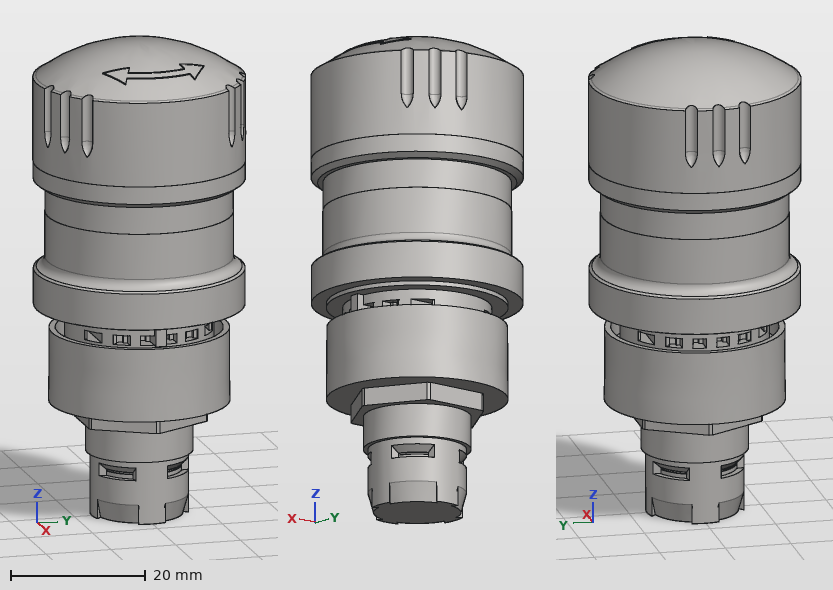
import cadquery as cq
import math

TOTAL_HEIGHT = 72.2

SPIGOT_DIA = 14.65
SPIGOT_TOP = 9.7
NECK_DIA = 16.0
NECK_TOP = 14.65

HEX_FLATS = 18.3
HEX_CORNER_DIA = 20.8
HEX_TOP = 17.3
HEX_TURN_ANGLE = 30

NUT_BOTTOM_DIA = 27.0
NUT_TOP_DIA = 26.85
NUT_TOP = 28.45
NUT_BORE_DIA = 25.0
NUT_BORE_DEPTH = 2.9

RING_DIA = 22.2
RING_TOP = 31.4
FLANGE_DIA = 27.0
FLANGE_TOP = 32.05

COLLAR_DIA = 31.5
COLLAR_EDGE_Z = 37.55
COVE_FOOT_DIA = 30.6
COVE_FOOT_Z = 37.8
COVE_TOP_Z = 39.35

BARREL_DIA = 28.1
BARREL_STEP_Z = 46.3
UPPER_BARREL_DIA = 28.0

CAP_BOTTOM_DIA = 29.6
CAP_BOTTOM_Z = 50.6
CAP_CHAMFER_TOP_Z = 51.3
CAP_SKIRT_DIA = 31.55
CAP_SKIRT_TOP = 54.0
CAP_DIA = 31.6
CAP_EDGE_Z = 66.85
DOME_DIA = 30.75
DOME_EDGE_Z = 67.1

SLOT_WIDTH = 6.35
SLOT_BOTTOM = 6.7
SLOT_TOP = 8.7
SLOT_FLOOR_RADIUS = 6.35
SLOT_INNER_TOP = 7.65
SLOT_FLOOR_WIDTH = 4.5
SLIT_BOTTOM = 7.4
SLIT_FLOOR_RADIUS = 6.15
RELIEF_WIDTH = 7.0
RELIEF_TOP = 2.95
RELIEF_BOTTOM_RADIUS = 6.5
SLOT_ANGLES = (45, 135, 225, 315)

WINDOW_TOP = 29.9
POCKET_SPANS = ((0.8, 2.8), (4.25, 6.5))
POCKET_FLOOR_X = 8.7
INNER_POCKET_INSET = 0.6
INNER_POCKET_FLOOR_X = 7.95
CHANNEL_SPAN = (7.95, 9.4)
RECESS_OUTER_Y = 9.8
RECESS_FLOOR_X = 4.85

KEY_REACH = 12.1
KEY_WIDTH = 1.6

GROOVE_RADIUS = 0.9
GROOVE_BOTTOM = 60.3
GROOVE_TIP_LENGTH = 2.25
GROOVE_GROUP_ANGLES = (-60, 60, 180)
GROOVE_PITCH_ANGLE = 15

ARROW_HEIGHT = 0.15
ARROW_MID_RADIUS = 11.0
ARROW_SHAFT_WIDTH = 1.15
ARROW_HEAD_WIDTH = 3.5
ARROW_HEAD_ANGLE = 24.8
ARROW_TIP_ANGLE = 45.5

DOME_RISE = TOTAL_HEIGHT - DOME_EDGE_Z
DOME_RADIUS = ((DOME_DIA / 2) ** 2 + DOME_RISE ** 2) / (2 * DOME_RISE)
DOME_CENTRE_Z = TOTAL_HEIGHT - DOME_RADIUS


def polar(radius, angle):
    """Point in the XY plane at an angle in degrees from +X."""
    return (radius * math.cos(math.radians(angle)), radius * math.sin(math.radians(angle)))


def disc(diameter, bottom, top):
    return cq.Workplane("XY").workplane(offset=bottom).circle(diameter / 2).extrude(top - bottom)


def box_between(x_span, y_span, z_span):
    size = [max(span) - min(span) for span in (x_span, y_span, z_span)]
    corner = (min(x_span), min(y_span), min(z_span))
    return cq.Workplane("XY").box(*size, centered=False).translate(corner)


def cove_midpoint():
    """Middle of the circular cove, which is tangent to the barrel at its top."""
    width = (COVE_FOOT_DIA - BARREL_DIA) / 2
    height = COVE_TOP_Z - COVE_FOOT_Z
    radius = (width ** 2 + height ** 2) / (2 * width)
    half_angle = math.asin(height / radius) / 2
    return (
        BARREL_DIA / 2 + radius * (1 - math.cos(half_angle)),
        COVE_TOP_Z - radius * math.sin(half_angle),
    )


def make_lower_body():
    spigot = disc(SPIGOT_DIA, 0, SPIGOT_TOP)
    neck = disc(NECK_DIA, SPIGOT_TOP, NECK_TOP)
    hexagon = (
        cq.Workplane("XY").workplane(offset=NECK_TOP)
        .polygon(6, HEX_FLATS, circumscribed=True)
        .extrude(HEX_TOP - NECK_TOP)
        .rotate((0, 0, 0), (0, 0, 1), HEX_TURN_ANGLE)
        .intersect(disc(HEX_CORNER_DIA, NECK_TOP, HEX_TOP))
    )
    nut = (
        cq.Workplane("XY").workplane(offset=HEX_TOP).circle(NUT_BOTTOM_DIA / 2)
        .workplane(offset=NUT_TOP - HEX_TOP).circle(NUT_TOP_DIA / 2)
        .loft()
    )
    bore = disc(NUT_BORE_DIA, NUT_TOP - NUT_BORE_DEPTH, NUT_TOP)
    return spigot.union(neck).union(hexagon).union(nut.cut(bore))


def make_upper_body():
    return (
        cq.Workplane("XZ")
        .moveTo(0, RING_TOP)
        .lineTo(FLANGE_DIA / 2, RING_TOP)
        .lineTo(FLANGE_DIA / 2, FLANGE_TOP)
        .lineTo(COLLAR_DIA / 2, FLANGE_TOP)
        .lineTo(COLLAR_DIA / 2, COLLAR_EDGE_Z)
        .lineTo(COVE_FOOT_DIA / 2, COVE_FOOT_Z)
        .threePointArc(cove_midpoint(), (BARREL_DIA / 2, COVE_TOP_Z))
        .lineTo(BARREL_DIA / 2, BARREL_STEP_Z)
        .lineTo(UPPER_BARREL_DIA / 2, BARREL_STEP_Z)
        .lineTo(UPPER_BARREL_DIA / 2, CAP_BOTTOM_Z)
        .lineTo(CAP_BOTTOM_DIA / 2, CAP_BOTTOM_Z)
        .lineTo(CAP_SKIRT_DIA / 2, CAP_CHAMFER_TOP_Z)
        .lineTo(CAP_SKIRT_DIA / 2, CAP_SKIRT_TOP)
        .lineTo(CAP_DIA / 2, CAP_SKIRT_TOP)
        .lineTo(CAP_DIA / 2, CAP_EDGE_Z)
        .lineTo(DOME_DIA / 2, DOME_EDGE_Z)
        .threePointArc(dome_midpoint(), (0, TOTAL_HEIGHT))
        .close()
        .revolve(360, (0, 0, 0), (0, 1, 0))
    )


def dome_midpoint():
    half_angle = math.asin(DOME_DIA / 2 / DOME_RADIUS) / 2
    return (
        DOME_RADIUS * math.sin(half_angle),
        DOME_CENTRE_Z + DOME_RADIUS * math.cos(half_angle),
    )


def make_ring():
    ring = disc(RING_DIA, NUT_TOP - NUT_BORE_DEPTH, RING_TOP)
    z_span = (NUT_TOP, WINDOW_TOP)
    outer_x = RING_DIA / 2
    for y_side in (-1, 1):
        channel_y = [y_side * y for y in CHANNEL_SPAN]
        ring = ring.cut(box_between((-outer_x, outer_x), channel_y, z_span))
        recess_y = (y_side * CHANNEL_SPAN[1], y_side * RECESS_OUTER_Y)
        for x_side in (-1, 1):
            recess_x = (x_side * RECESS_FLOOR_X, x_side * outer_x)
            ring = ring.cut(box_between(recess_x, recess_y, z_span))
            pocket_x = (x_side * POCKET_FLOOR_X, x_side * outer_x)
            for span in POCKET_SPANS:
                pocket_y = [y_side * y for y in span]
                ring = ring.cut(box_between(pocket_x, pocket_y, z_span))
                inner_x = (x_side * INNER_POCKET_FLOOR_X, x_side * POCKET_FLOOR_X)
                inner_y = (
                    y_side * (span[0] + INNER_POCKET_INSET),
                    y_side * (span[1] - INNER_POCKET_INSET),
                )
                ring = ring.cut(box_between(inner_x, inner_y, z_span))
    key = box_between((POCKET_FLOOR_X, KEY_REACH), (-KEY_WIDTH / 2, KEY_WIDTH / 2), (NUT_TOP, RING_TOP))
    return ring.union(key)


def chord_distance(radius, chord):
    """Distance from the axis to a chord of a circle."""
    return math.sqrt(radius ** 2 - (chord / 2) ** 2)


def make_slot():
    """Slot facing +X: conical ceiling, ends converging inwards, slit in the round floor."""
    spigot_radius = SPIGOT_DIA / 2
    ring_of_slot = (
        cq.Workplane("XZ")
        .moveTo(SLOT_FLOOR_RADIUS, SLOT_BOTTOM)
        .lineTo(SPIGOT_DIA, SLOT_BOTTOM)
        .lineTo(SPIGOT_DIA, SLOT_TOP)
        .lineTo(spigot_radius, SLOT_TOP)
        .lineTo(SLOT_FLOOR_RADIUS, SLOT_INNER_TOP)
        .lineTo(SLIT_FLOOR_RADIUS, SLOT_INNER_TOP)
        .lineTo(SLIT_FLOOR_RADIUS, SLIT_BOTTOM)
        .lineTo(SLOT_FLOOR_RADIUS, SLIT_BOTTOM)
        .close()
        .revolve(360, (0, 0, 0), (0, 1, 0))
    )
    floor_corner = (chord_distance(SLOT_FLOOR_RADIUS, SLOT_FLOOR_WIDTH), SLOT_FLOOR_WIDTH / 2)
    rim_corner = (chord_distance(spigot_radius, SLOT_WIDTH), SLOT_WIDTH / 2)
    half_plan = (
        cq.Workplane("XY").workplane(offset=SLOT_BOTTOM)
        .lineTo(0, SLOT_FLOOR_WIDTH / 2)
        .lineTo(*floor_corner)
        .lineTo(*rim_corner)
        .lineTo(SPIGOT_DIA, SLOT_WIDTH / 2)
        .lineTo(SPIGOT_DIA, 0)
        .close()
        .extrude(SLOT_TOP - SLOT_BOTTOM)
    )
    plan = half_plan.union(half_plan.mirror("XZ"))
    return ring_of_slot.intersect(plan)


def make_relief():
    """Conical relief facing +X at the bottom rim of the spigot."""
    block = box_between((0, SPIGOT_DIA), (-RELIEF_WIDTH / 2, RELIEF_WIDTH / 2), (0, RELIEF_TOP))
    cone = (
        cq.Workplane("XY").circle(RELIEF_BOTTOM_RADIUS)
        .workplane(offset=RELIEF_TOP).circle(SPIGOT_DIA / 2)
        .loft()
    )
    return block.cut(cone)


def make_groove():
    """Round-sided groove at +X, open at the top and ending in a pointed tip."""
    return (
        cq.Workplane("XZ")
        .moveTo(0, TOTAL_HEIGHT)
        .lineTo(GROOVE_RADIUS, TOTAL_HEIGHT)
        .lineTo(GROOVE_RADIUS, GROOVE_BOTTOM)
        .tangentArcPoint((0, GROOVE_BOTTOM - GROOVE_TIP_LENGTH), relative=False)
        .close()
        .revolve(360, (0, 0, 0), (0, 1, 0))
        .translate((CAP_DIA / 2, 0, 0))
    )


def make_arrow():
    """Double-headed curved arrow, standing slightly proud of the dome."""
    shaft_outer = ARROW_MID_RADIUS + ARROW_SHAFT_WIDTH / 2
    shaft_inner = ARROW_MID_RADIUS - ARROW_SHAFT_WIDTH / 2
    barb_outer = ARROW_MID_RADIUS + ARROW_HEAD_WIDTH / 2
    barb_inner = ARROW_MID_RADIUS - ARROW_HEAD_WIDTH / 2
    outline = (
        cq.Workplane("XY").workplane(offset=CAP_EDGE_Z)
        .moveTo(*polar(shaft_outer, -ARROW_HEAD_ANGLE))
        .threePointArc((shaft_outer, 0), polar(shaft_outer, ARROW_HEAD_ANGLE))
        .lineTo(*polar(barb_outer, ARROW_HEAD_ANGLE))
        .lineTo(*polar(ARROW_MID_RADIUS, ARROW_TIP_ANGLE))
        .lineTo(*polar(barb_inner, ARROW_HEAD_ANGLE))
        .lineTo(*polar(shaft_inner, ARROW_HEAD_ANGLE))
        .threePointArc((shaft_inner, 0), polar(shaft_inner, -ARROW_HEAD_ANGLE))
        .lineTo(*polar(barb_inner, -ARROW_HEAD_ANGLE))
        .lineTo(*polar(ARROW_MID_RADIUS, -ARROW_TIP_ANGLE))
        .lineTo(*polar(barb_outer, -ARROW_HEAD_ANGLE))
        .close()
        .extrude(TOTAL_HEIGHT - CAP_EDGE_Z)
    )
    raised_face = cq.Workplane("XY").sphere(DOME_RADIUS + ARROW_HEIGHT).translate((0, 0, DOME_CENTRE_Z))
    return outline.intersect(raised_face)


def turned(tool, angle):
    return tool.rotate((0, 0, 0), (0, 0, 1), angle)


result = make_lower_body().union(make_ring()).union(make_upper_body())

for slot_angle in SLOT_ANGLES:
    result = result.cut(turned(make_slot(), slot_angle))
    result = result.cut(turned(make_relief(), slot_angle))

for group_angle in GROOVE_GROUP_ANGLES:
    for step in (-1, 0, 1):
        result = result.cut(turned(make_groove(), group_angle + step * GROOVE_PITCH_ANGLE))

result = result.union(make_arrow())